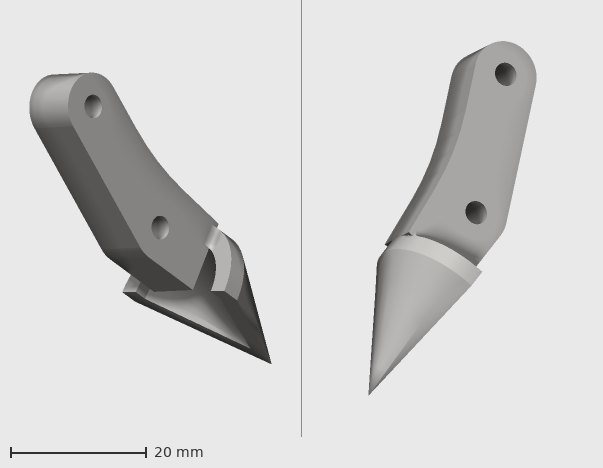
import cadquery as cq
import math

arm_pitch = 51.4

arm_thickness = 8.5
end_radius = 5.0
hole_diameter = 3.5
hole_spacing = 22.0
bend_angle = 9.0
valley_x = 14.65
valley_radius = 40.35

cone_tilt = 16.2
cone_roll = 1.7
base_x = 32.65
base_y = -5.6
outer_radius = 11.4
rim_length = 2.85
cone_length = 19.2
inner_radius = 8.35
inner_rim_length = 2.1
inner_cone_length = 15.2
arm_top_height = 11.3
fillet_radius = 1.15

second_hole = (
    hole_spacing * math.cos(math.radians(bend_angle)),
    -hole_spacing * math.sin(math.radians(bend_angle)),
)


def on_circle(center, degrees):
    """Point on an arm end circle."""
    angle = math.radians(degrees)
    return (
        center[0] + end_radius * math.cos(angle),
        center[1] + end_radius * math.sin(angle),
    )


def from_cone_frame(along, across):
    """Arm coordinates of a point given along and across the cone axis."""
    tilt = math.radians(cone_tilt)
    return (
        base_x + along * math.cos(tilt) - across * math.sin(tilt),
        base_y + along * math.sin(tilt) + across * math.cos(tilt),
    )


def place_on_cone_axis(shape):
    """Move a shape built along X at the origin onto the cone axis."""
    return shape.rotate((0, 0, 0), (0, 0, 1), cone_tilt).translate((base_x, base_y, 0))


def lower_edge_height():
    """Height of the flat lower edge over the cone axis; it is tangent to the second hole's arc."""
    tilt = math.radians(cone_tilt)
    hole_height = (second_hole[1] - base_y) * math.cos(tilt) - (second_hole[0] - base_x) * math.sin(tilt)
    return hole_height - end_radius


def make_arm():
    origin = (0, 0)
    upper_tangent = on_circle(origin, 90 - bend_angle)
    lower_tangent = on_circle(origin, 270 - bend_angle)
    valley_drop = (valley_x - upper_tangent[0]) * math.tan(math.radians(bend_angle))
    valley_y = upper_tangent[1] - valley_drop
    arc_middle = 270 + (cone_tilt - bend_angle) / 2

    arm = (
        cq.Workplane("XY")
        .moveTo(*upper_tangent)
        .threePointArc(on_circle(origin, 180 - bend_angle), lower_tangent)
        .lineTo(*on_circle(second_hole, 270 - bend_angle))
        .threePointArc(on_circle(second_hole, arc_middle), on_circle(second_hole, 270 + cone_tilt))
        .lineTo(*from_cone_frame(0, lower_edge_height()))
        .lineTo(*from_cone_frame(0, arm_top_height))
        .lineTo(valley_x, valley_y)
        .close()
        .extrude(arm_thickness / 2, both=True)
    )
    valley_edge = cq.selectors.NearestToPointSelector((valley_x, valley_y, 0))
    arm = arm.edges("|Z").edges(valley_edge).fillet(valley_radius)
    holes = (
        cq.Workplane("XY")
        .pushPoints([origin, second_hole])
        .circle(hole_diameter / 2)
        .extrude(arm_thickness, both=True)
    )
    return arm.cut(holes)


def half_point(radius, cylinder_length, point_length):
    """Half turn of a cylinder ending in a cone, on the +Y side of the X axis."""
    return (
        cq.Workplane("XZ")
        .polyline([(0, 0), (0, radius), (cylinder_length, radius), (cylinder_length + point_length, 0)])
        .close()
        .revolve(180, (0, 0), (-1, 0))
    )


def make_cone_shell():
    outside = half_point(outer_radius, rim_length, cone_length)
    cavity = half_point(inner_radius, inner_rim_length, inner_cone_length)
    shell = outside.cut(cavity).rotate((0, 0, 0), (1, 0, 0), cone_roll)
    return place_on_cone_axis(shell)


def make_side_fillets():
    """Concave fillets from both arm sides to the annular base."""
    side = arm_thickness / 2
    base_ring = (
        cq.Workplane("YZ")
        .circle(outer_radius)
        .circle(inner_radius)
        .extrude(-fillet_radius)
    )
    mid = fillet_radius * (1 - math.sqrt(0.5))
    fillet = (
        cq.Workplane("XZ")
        .moveTo(0, side)
        .lineTo(-fillet_radius, side)
        .threePointArc((-mid, side + mid), (0, side + fillet_radius))
        .close()
        .extrude(-outer_radius)
    )
    fillets = fillet.union(fillet.mirror("XY")).intersect(base_ring)
    return place_on_cone_axis(fillets)


part = make_arm().union(make_cone_shell()).union(make_side_fillets())
result = part.rotate((0, 0, 0), (0, 1, 0), arm_pitch)